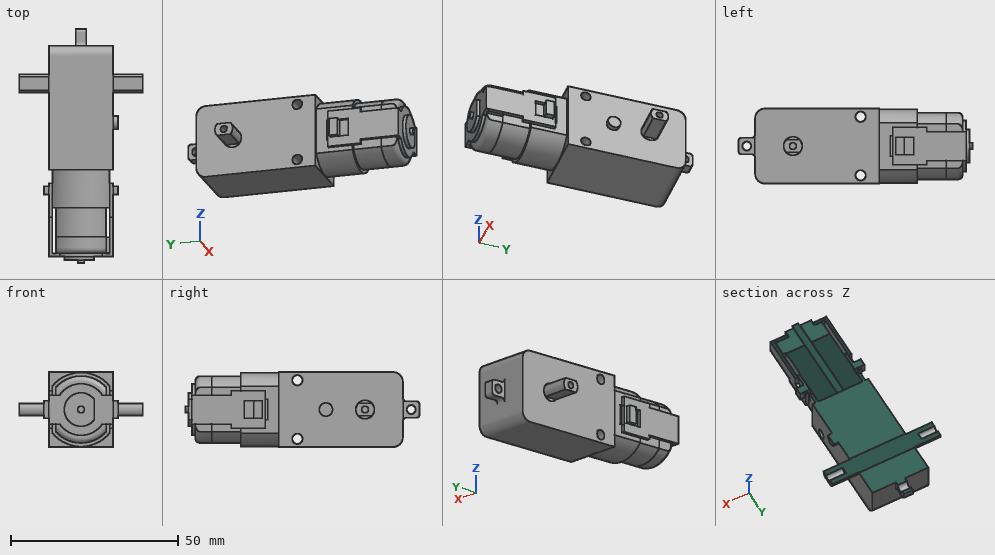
import cadquery as cq
import math


total_length = 70.0

can_diameter = 20.0
can_flat_width = 15.0
can_end_y = -19.95
cap_end_y = -24.9
cap_edge_radius = 1.55
boss_diameter = 10.0
boss_flat_x = 3.9
boss_step = 1.05
motor_shaft_diameter = 2.0
motor_shaft_end_y = -27.85

terminal_start_y = -20.1
terminal_end_y = -24.8
terminal_height = 8.7

wall = 1.05
sleeve_length = 11.35
sleeve_diameter = can_diameter + 2 * wall
sleeve_flat_width = can_flat_width + 2 * wall
strap_start_y = -3.9
strap_step_y = -14.15
strap_plate = 1.0
strap_end_y = cap_end_y - strap_plate
boss_end_y = strap_end_y - boss_step
strap_width = sleeve_flat_width + 2 * wall
strap_head_height = 11.2
strap_arm_height = 8.7
strap_ring_diameter = 15.4

window_start_y = -4.8
window_end_y = -10.3
window_height = 5.3
hook_length = 2.5
side_projection = 1.5
relief_start_y = -3.3
relief_height = 6.15

box_width = strap_width
box_length = 37.2
box_height = 22.5
box_corner_radius = 3.0
screw_hole_diameter = 3.0
screw_hole_y = 5.6
screw_hole_z = 8.75
peg_diameter = 4.0
peg_y = 14.15

ear_width = 3.15
ear_height = 5.0
ear_length = total_length + motor_shaft_end_y - box_length
ear_radius = 1.0
ear_hole_diameter = 2.6
ear_hole_offset = 2.5

output_y = 25.8
output_diameter = 5.5
output_flat_height = 3.65
output_length = 37.0
output_bore_diameter = 2.0
output_bore_depth = 5.6


def box_between(x0, x1, y0, y1, height):
    """Box between two X and two Y positions, centred on z = 0."""
    box = cq.Workplane("XY").box(abs(x1 - x0), abs(y1 - y0), height)
    return box.translate(((x0 + x1) / 2, (y0 + y1) / 2, 0))


def y_cylinder(diameter, y0, y1):
    """Cylinder on the motor axis from y0 toward -Y to y1."""
    return cq.Workplane("XZ", origin=(0, y0, 0)).circle(diameter / 2).extrude(y0 - y1)


def x_cylinder(diameter, x0, x1, y, z=0):
    """Cylinder parallel to X from x0 to x1."""
    return cq.Workplane("YZ", origin=(x0, y, z)).circle(diameter / 2).extrude(x1 - x0)


def double_flat(diameter, width, y0, y1):
    """Cylinder on the motor axis with two flats facing -X and +X."""
    flats = box_between(-width / 2, width / 2, y0, y1, diameter)
    return y_cylinder(diameter, y0, y1).intersect(flats)


def make_ear():
    """Rounded tab with a cross hole, blended into the gearbox rear wall."""
    half = ear_height / 2
    r = ear_radius
    base = box_length
    tip = base + ear_length
    bend = r * math.sqrt(0.5)
    outline = (
        cq.Workplane("YZ", origin=(-ear_width / 2, 0, 0))
        .moveTo(base, -half - r)
        .threePointArc((base + r - bend, -half - r + bend), (base + r, -half))
        .lineTo(tip - r, -half)
        .threePointArc((tip - r + bend, -half + r - bend), (tip, -half + r))
        .lineTo(tip, half - r)
        .threePointArc((tip - r + bend, half - r + bend), (tip - r, half))
        .lineTo(base + r, half)
        .threePointArc((base + r - bend, half + r - bend), (base, half + r))
        .close()
    )
    hole = x_cylinder(ear_hole_diameter, -ear_width, ear_width, tip - ear_hole_offset)
    return outline.extrude(ear_width).cut(hole)


def make_gearbox():
    """Gearbox block with ear, peg, screw holes, and the motor sleeve with its two snap hooks."""
    half_width = box_width / 2
    body = box_between(-half_width, half_width, 0, box_length, box_height)
    body = body.faces(">Y").edges("|X").fillet(box_corner_radius)
    body = body.union(make_ear())
    body = body.union(x_cylinder(peg_diameter, half_width, half_width + side_projection, peg_y))
    for z in (-screw_hole_z, screw_hole_z):
        body = body.cut(x_cylinder(screw_hole_diameter, -half_width, half_width, screw_hole_y, z))
    body = body.cut(x_cylinder(output_diameter, -half_width, half_width, output_y))

    body = body.union(double_flat(sleeve_diameter, sleeve_flat_width, 0, -sleeve_length))
    body = body.cut(double_flat(can_diameter, can_flat_width, 0, -sleeve_length))
    for side in (-1, 1):
        inner = side * can_flat_width / 2
        flat = side * sleeve_flat_width / 2
        tip = side * (half_width + side_projection)
        body = body.cut(box_between(inner, flat, relief_start_y, window_start_y, relief_height))
        hook = box_between(flat, tip, window_start_y, window_start_y - hook_length, window_height)
        body = body.union(hook)
    return body


def make_output_shaft():
    """Shaft round inside the gearbox, with two flats and a blind bore at each end."""
    end = output_length / 2
    radius = output_diameter / 2
    core = x_cylinder(output_diameter, -box_width / 2, box_width / 2, output_y)
    flats = box_between(-end, end, output_y - radius, output_y + radius, output_flat_height)
    ends = x_cylinder(output_diameter, -end, end, output_y).intersect(flats)
    shaft = core.union(ends)
    for bore_start in (-end, end - output_bore_depth):
        bore = x_cylinder(output_bore_diameter, bore_start, bore_start + output_bore_depth, output_y)
        shaft = shaft.cut(bore)
    return shaft


def make_motor_can():
    """Flatted can that fills the sleeve and reaches to the end cap."""
    can = double_flat(can_diameter, can_flat_width, 0, can_end_y)
    return can.cut(y_cylinder(motor_shaft_diameter, 0, can_end_y))


def make_boss():
    """D-shaped boss that passes through the strap."""
    radius = boss_diameter / 2
    limits = box_between(-radius, boss_flat_x, cap_end_y, boss_end_y, boss_diameter)
    return y_cylinder(boss_diameter, cap_end_y, boss_end_y).intersect(limits)


def make_end_cap():
    """Flatted cap with a rounded rim, a D-shaped boss and the terminal block."""
    flat = can_flat_width / 2
    rounded = y_cylinder(can_diameter, can_end_y, cap_end_y).faces("<Y").edges().fillet(cap_edge_radius)
    cap = rounded.intersect(box_between(-flat, flat, can_end_y, cap_end_y, can_diameter))
    cap = cap.union(make_boss())
    terminal_x = sleeve_flat_width / 2
    cap = cap.union(box_between(flat, terminal_x, terminal_start_y, terminal_end_y, terminal_height))
    return cap.cut(y_cylinder(motor_shaft_diameter, can_end_y, boss_end_y))


def make_motor_shaft():
    """Shaft through the can and the end cap."""
    return y_cylinder(motor_shaft_diameter, 0, motor_shaft_end_y)


def make_strap():
    """U-shaped strap around the end cap, with a windowed head on each arm."""
    outer = strap_width / 2
    inner = sleeve_flat_width / 2
    strap = box_between(-outer, outer, cap_end_y, strap_end_y, strap_arm_height)
    strap = strap.union(y_cylinder(strap_ring_diameter, cap_end_y, strap_end_y))
    for side in (-1, 1):
        arm = box_between(side * inner, side * outer, strap_step_y, strap_end_y, strap_arm_height)
        head = box_between(side * inner, side * outer, strap_start_y, strap_step_y, strap_head_height)
        window = box_between(side * inner, side * outer, window_start_y, window_end_y, window_height)
        strap = strap.union(arm).union(head.cut(window))
    return strap.cut(make_boss())


gearbox = make_gearbox()
output_shaft = make_output_shaft()
motor_can = make_motor_can()
end_cap = make_end_cap()
motor_shaft = make_motor_shaft()
strap = make_strap()

result = cq.Compound.makeCompound([
    gearbox.solids().val(),
    output_shaft.solids().val(),
    motor_can.solids().val(),
    end_cap.solids().val(),
    motor_shaft.solids().val(),
    strap.solids().val(),
])